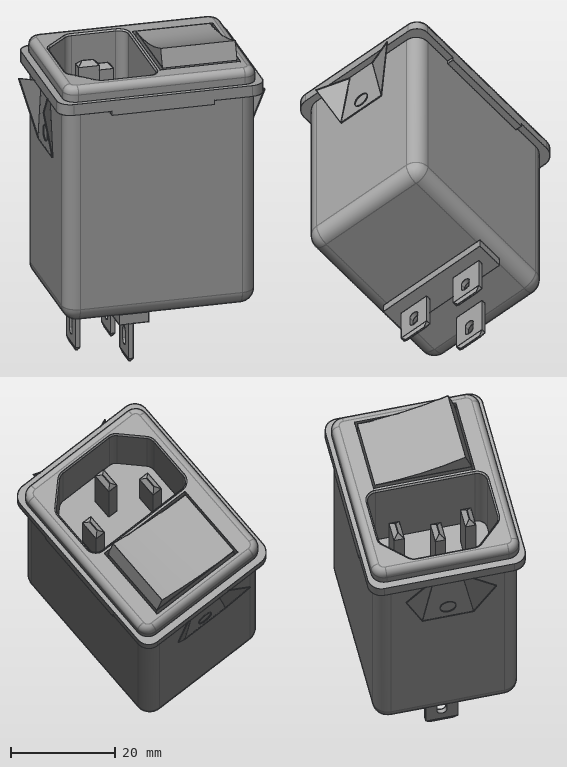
import cadquery as cq


case_width = 28.3
case_depth = 38.15
case_corner_radius = 2.95
case_bottom_radius = 2.9
case_height = 44.0
flange_width = 31.0
flange_depth = 41.0
flange_thickness = 2.25
flange_corner_radius = 2.7
bezel_width = 29.05
bezel_depth = case_depth
bezel_height = 2.95
bezel_corner_radius = 2.5
bezel_edge_radius = 1.5
flange_top = case_height + flange_thickness
bezel_top = flange_top + bezel_height

tab_length = 20.4
tab_height = 0.85
tab_width = (flange_width - case_width) / 2

switch_center_y = 8.9
recess_width = 20.0
recess_length = 16.0
recess_depth = 3.0
rocker_width = 19.15
rocker_length = 14.85
rocker_base_length = 14.7
rocker_rise = 0.1
rocker_low_edge = bezel_top + rocker_rise
rocker_peak = 52.9
rocker_peak_inset = 1.3
rocker_arc_sag = 0.8

socket_half_width = 11.8
socket_rear_y = 0.05
socket_front_y = -16.85
socket_corner_cut = 5.25
socket_corner_radius = 2.0
socket_rim_chamfer = 0.3
socket_depth = 16.0

pin_width = 2.05
pin_length = 4.15
live_pin_height = 11.4
earth_pin_height = 15.35
pin_tip_chamfer = 0.95
live_pin_x = 7.05
live_pin_y = -6.0
earth_pin_y = -10.8

clip_thickness = 0.2
clip_bottom = 31.2
clip_top_half_width = 2.8
clip_bottom_half_width = 5.05
wing_tip_x = 8.9
clip_span = 44.25
wing_tip_y = clip_span / 2
wing_tip_z = 42.4
rivet_hole_diameter = 3.15
rivet_hole_z = 34.3

block_width = 24.15
block_length = 5.9
block_height = 2.05
terminal_row_y = -4.85
terminal_width = 6.4
terminal_thickness = 0.95
terminal_corner_cut = 0.9
terminal_tip_thickness = 0.3
slot_width = 1.9
left_slot_length = 3.15
left_slot_z = -6.9
left_slot_offset = 0.2
right_slot_length = 3.8
right_slot_z = -6.6
earth_slot_length = 3.9
earth_slot_z = -6.0
side_terminal_x = 6.5
side_terminal_end = -11.15
earth_terminal_y = -13.65
earth_terminal_end = -10.5


def rounded_block(width, depth, height, radius, base_z):
    """Upright block with rounded vertical edges."""
    block = cq.Workplane("XY").workplane(offset=base_z).rect(width, depth).extrude(height)
    return block.edges("|Z").fillet(radius)


def make_shell():
    case = rounded_block(case_width, case_depth, case_height, case_corner_radius, 0)
    case = case.faces("<Z").edges().fillet(case_bottom_radius)
    flange = rounded_block(flange_width, flange_depth, flange_thickness, flange_corner_radius, case_height)
    bezel = rounded_block(bezel_width, bezel_depth, bezel_height, bezel_corner_radius, flange_top)
    bezel = bezel.faces(">Z").edges().fillet(bezel_edge_radius)
    shell = case.union(flange).union(bezel)
    for side in (-1, 1):
        tab = cq.Workplane("XY").box(tab_width, tab_length, tab_height, centered=(True, True, False))
        tab_x = side * (flange_width - tab_width) / 2
        shell = shell.union(tab.translate((tab_x, 0, case_height - tab_height)))
    return shell


def make_switch_recess():
    recess = cq.Workplane("XY").box(recess_width, recess_length, recess_depth, centered=(True, True, False))
    return recess.translate((0, switch_center_y, bezel_top - recess_depth))


def make_socket_cavity():
    """Cavity with two cut front corners, rounded vertical edges and a 45 degree rim chamfer."""
    cavity = (
        cq.Workplane("XY")
        .workplane(offset=bezel_top - socket_depth)
        .center(0, (socket_rear_y + socket_front_y) / 2)
        .rect(2 * socket_half_width, socket_rear_y - socket_front_y)
        .extrude(socket_depth - socket_rim_chamfer)
    )
    cavity = cavity.edges("|Z and <Y").chamfer(socket_corner_cut)
    cavity = cavity.edges("|Z").fillet(socket_corner_radius)
    return cavity.faces(">Z").wires().toPending().extrude(socket_rim_chamfer, taper=-45)


def make_contact_pin(x, y, pin_height):
    pin = cq.Workplane("XY").box(pin_width, pin_length, pin_height, centered=(True, True, False))
    pin = pin.faces(">Z").chamfer(pin_tip_chamfer)
    return pin.translate((x, y, bezel_top - socket_depth))


def make_front_clip():
    """Thin plate on the front face with two triangular wings bent outward."""
    plate_y = -case_depth / 2 - clip_thickness
    clip = (
        cq.Workplane("XZ", origin=(0, plate_y, 0))
        .polyline([
            (-clip_top_half_width, case_height),
            (clip_top_half_width, case_height),
            (clip_bottom_half_width, clip_bottom),
            (-clip_bottom_half_width, clip_bottom),
        ])
        .close()
        .extrude(-clip_thickness)
    )
    hole = (
        cq.Workplane("XZ", origin=(0, plate_y, 0))
        .center(0, rivet_hole_z)
        .circle(rivet_hole_diameter / 2)
        .extrude(-clip_thickness)
    )
    clip = clip.cut(hole)
    for side in (-1, 1):
        outline = cq.Wire.makePolygon([
            cq.Vector(side * clip_top_half_width, plate_y, case_height),
            cq.Vector(side * clip_bottom_half_width, plate_y, clip_bottom),
            cq.Vector(side * wing_tip_x, -wing_tip_y, wing_tip_z),
        ], close=True)
        wing = cq.Solid.extrudeLinear(outline, [], cq.Vector(0, clip_thickness, 0))
        clip = clip.union(cq.Workplane(wing))
    return clip


def make_terminal(x, y, end_z, slot_z, slot_length, slot_offset=0):
    """Flat blade hanging from the case, with cut corners, a bevelled tip and a slot."""
    half_width = terminal_width / 2
    bevel_z = end_z + terminal_corner_cut
    blade = (
        cq.Workplane("XZ")
        .polyline([
            (-half_width, 0),
            (-half_width, bevel_z),
            (-half_width + terminal_corner_cut, end_z),
            (half_width - terminal_corner_cut, end_z),
            (half_width, bevel_z),
            (half_width, 0),
        ])
        .close()
        .extrude(terminal_thickness / 2, both=True)
    )
    side_profile = (
        cq.Workplane("YZ")
        .polyline([
            (-terminal_thickness / 2, 0),
            (-terminal_thickness / 2, bevel_z),
            (-terminal_tip_thickness / 2, end_z),
            (terminal_tip_thickness / 2, end_z),
            (terminal_thickness / 2, bevel_z),
            (terminal_thickness / 2, 0),
        ])
        .close()
        .extrude(half_width, both=True)
    )
    slot = (
        cq.Workplane("XZ")
        .center(slot_offset, slot_z)
        .slot2D(slot_length, slot_width, 90)
        .extrude(terminal_thickness, both=True)
    )
    return blade.intersect(side_profile).cut(slot).translate((x, y, 0))


def make_terminal_block():
    block = cq.Workplane("XY").box(block_width, block_length, block_height, centered=(True, True, False))
    return block.translate((0, terminal_row_y, -block_height))


def make_housing():
    housing = make_shell().cut(make_switch_recess()).cut(make_socket_cavity())
    for x in (-live_pin_x, live_pin_x):
        housing = housing.union(make_contact_pin(x, live_pin_y, live_pin_height))
    housing = housing.union(make_contact_pin(0, earth_pin_y, earth_pin_height))
    front_clip = make_front_clip()
    housing = housing.union(front_clip).union(front_clip.mirror("XZ"))
    housing = housing.union(make_terminal_block())
    left_terminal = make_terminal(
        -side_terminal_x, terminal_row_y, side_terminal_end, left_slot_z, left_slot_length, left_slot_offset
    )
    right_terminal = make_terminal(
        side_terminal_x, terminal_row_y, side_terminal_end, right_slot_z, right_slot_length
    )
    earth_terminal = make_terminal(
        0, earth_terminal_y, earth_terminal_end, earth_slot_z, earth_slot_length
    )
    return housing.union(left_terminal).union(right_terminal).union(earth_terminal)


def make_rocker():
    """Block standing on the recess floor, topped by a slightly wider wedge with a concave upper face."""
    half_width = rocker_width / 2
    floor_z = bezel_top - recess_depth
    peak_x = half_width - rocker_peak_inset
    arc_mid = ((peak_x - half_width) / 2, (rocker_low_edge + rocker_peak) / 2 - rocker_arc_sag)
    block = (
        cq.Workplane("XY", origin=(0, switch_center_y, floor_z))
        .rect(rocker_width, rocker_base_length)
        .extrude(rocker_low_edge - floor_z)
    )
    wedge = (
        cq.Workplane("XZ", origin=(0, switch_center_y, 0))
        .moveTo(-half_width, rocker_low_edge)
        .threePointArc(arc_mid, (peak_x, rocker_peak))
        .lineTo(half_width, rocker_low_edge)
        .close()
        .extrude(rocker_length / 2, both=True)
    )
    return block.union(wedge)


housing = make_housing()
rocker = make_rocker()
result = cq.Compound.makeCompound([housing.val(), rocker.val()])